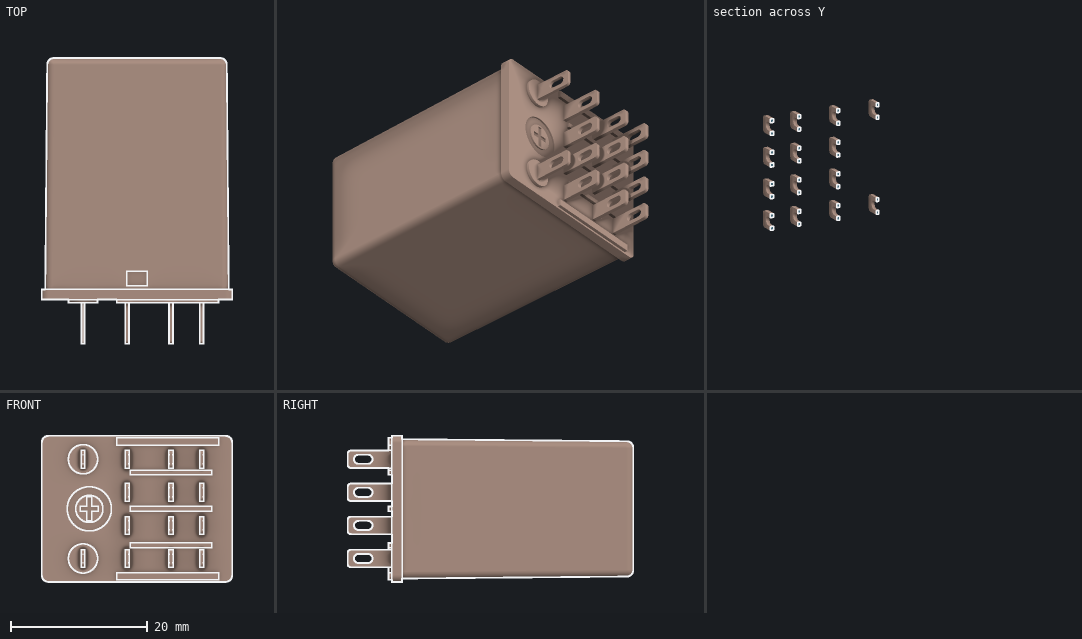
import cadquery as cq
import math


PLATE_WIDTH = 28.0
PLATE_HEIGHT = 21.5
PLATE_THICKNESS = 1.5
PLATE_CORNER_RADIUS = 1.0
PLATE_FACE_Y = -PLATE_THICKNESS

CASE_MARGIN = 0.5
CASE_WIDTH = PLATE_WIDTH - 2 * CASE_MARGIN
CASE_HEIGHT = PLATE_HEIGHT - 2 * CASE_MARGIN
CASE_LENGTH = 34.0
CASE_DRAFT_DEGREES = 0.5
CASE_EDGE_RADIUS = 1.0

WINDOW_WIDTH = 3.0
WINDOW_LENGTH = 2.1
WINDOW_OFFSET_FROM_PLATE = 0.55
WINDOW_DEPTH = 0.25

RELIEF_HEIGHT = 0.5
RAIL_CENTER_X = 4.5
RAIL_LENGTH = 15.0
RAIL_THICKNESS = 1.1
RAIL_INSET = 0.3
RAIL_CENTER_Z = PLATE_HEIGHT / 2 - RAIL_INSET - RAIL_THICKNESS / 2
RIB_CENTER_X = 5.0
RIB_LENGTH = 12.0
RIB_THICKNESS = 0.7
RIB_SPACING = 5.33
PAD_RADIUS = 2.15

SCREW_X = -7.0
SCREW_POCKET_RADIUS = 3.25
SCREW_HEAD_RADIUS = 2.0
SCREW_POCKET_DEPTH = 0.25
CROSS_DEPTH = 0.25
CROSS_SLOT_WIDTH = 0.7
CROSS_LENGTH_X = 2.65
CROSS_LENGTH_Z = 3.5

TERMINAL_LENGTH = 6.5
TERMINAL_WIDTH = 2.6
TERMINAL_TIP_RADIUS = 0.5
EYE_LENGTH = 2.7
EYE_WIDTH = 1.3
EYE_CENTER_FROM_TIP = 2.3
CONTACT_COLUMNS_X = (-1.45, 5.0, 9.5)
CONTACT_THICKNESS = 0.6
COIL_X = -7.93
COIL_THICKNESS = 0.5
ROW_SPACING = 4.86
OUTER_ROW_Z = 1.5 * ROW_SPACING
INNER_ROW_Z = 0.5 * ROW_SPACING


def block(size_x, size_z, y_start, length, x=0.0, z=0.0):
    """Rectangular block from y_start towards +Y, centred on (x, z)."""
    return cq.Workplane("XY").box(size_x, length, size_z).translate((x, y_start + length / 2, z))


def disc(radius, y_start, length, x, z):
    """Round disc from y_start towards +Y, centred on (x, z)."""
    return cq.Workplane("XZ", origin=(x, y_start, z)).circle(radius).extrude(-length)


def base_plate():
    plate = block(PLATE_WIDTH, PLATE_HEIGHT, PLATE_FACE_Y, PLATE_THICKNESS)
    return plate.edges("|Y").fillet(PLATE_CORNER_RADIUS)


def case():
    """Box drafted on all four sides, with its long edges and far end rounded."""
    shrink = 2 * CASE_LENGTH * math.tan(math.radians(CASE_DRAFT_DEGREES))
    body = (
        cq.Workplane("XZ")
        .rect(CASE_WIDTH, CASE_HEIGHT)
        .workplane(offset=-CASE_LENGTH)
        .rect(CASE_WIDTH - shrink, CASE_HEIGHT - shrink)
        .loft(ruled=True)
    )
    return body.edges("not <Y").fillet(CASE_EDGE_RADIUS)


def latch_window():
    """Cutter for the window, with its floor following the drafted top face."""
    slope = math.tan(math.radians(CASE_DRAFT_DEGREES))
    y_near = WINDOW_OFFSET_FROM_PLATE
    y_far = y_near + WINDOW_LENGTH
    floor_near = CASE_HEIGHT / 2 - WINDOW_DEPTH - y_near * slope
    floor_far = CASE_HEIGHT / 2 - WINDOW_DEPTH - y_far * slope
    top = PLATE_HEIGHT / 2
    side = [(y_near, floor_near), (y_far, floor_far), (y_far, top), (y_near, top)]
    return cq.Workplane("YZ").polyline(side).close().extrude(WINDOW_WIDTH / 2, both=True)


def rails_and_ribs():
    y_start = PLATE_FACE_Y - RELIEF_HEIGHT
    bars = cq.Workplane("XY")
    for z in (-RAIL_CENTER_Z, RAIL_CENTER_Z):
        bars = bars.add(block(RAIL_LENGTH, RAIL_THICKNESS, y_start, RELIEF_HEIGHT, RAIL_CENTER_X, z))
    for z in (-RIB_SPACING, 0.0, RIB_SPACING):
        bars = bars.add(block(RIB_LENGTH, RIB_THICKNESS, y_start, RELIEF_HEIGHT, RIB_CENTER_X, z))
    return bars.combine()


def screw_recess():
    """Cutter for the annular pocket around the screw head and the cross slot in it."""
    pocket = disc(SCREW_POCKET_RADIUS, PLATE_FACE_Y, SCREW_POCKET_DEPTH, SCREW_X, 0.0)
    head = disc(SCREW_HEAD_RADIUS, PLATE_FACE_Y, SCREW_POCKET_DEPTH, SCREW_X, 0.0)
    slot_x = block(CROSS_LENGTH_X, CROSS_SLOT_WIDTH, PLATE_FACE_Y, CROSS_DEPTH, SCREW_X)
    slot_z = block(CROSS_SLOT_WIDTH, CROSS_LENGTH_Z, PLATE_FACE_Y, CROSS_DEPTH, SCREW_X)
    return pocket.cut(head).union(slot_x).union(slot_z)


def terminal(thickness, x, z):
    """Flat blade with rounded tip corners and an oblong solder eye."""
    tip_y = PLATE_FACE_Y - TERMINAL_LENGTH
    blade = block(thickness, TERMINAL_WIDTH, tip_y, TERMINAL_LENGTH, x, z)
    blade = blade.edges("|X and <Y").fillet(TERMINAL_TIP_RADIUS)
    eye = (
        cq.Workplane("YZ", origin=(x, tip_y + EYE_CENTER_FROM_TIP, z))
        .slot2D(EYE_LENGTH, EYE_WIDTH)
        .extrude(thickness, both=True)
    )
    return blade.cut(eye)


def coil_terminals():
    """Two terminals, each standing on a round pad."""
    group = cq.Workplane("XY")
    for z in (-OUTER_ROW_Z, OUTER_ROW_Z):
        pad = disc(PAD_RADIUS, PLATE_FACE_Y - RELIEF_HEIGHT, RELIEF_HEIGHT, COIL_X, z)
        group = group.add(pad.union(terminal(COIL_THICKNESS, COIL_X, z)))
    return group.combine()


def contact_terminals():
    """Grid of three columns and four rows."""
    group = cq.Workplane("XY")
    for x in CONTACT_COLUMNS_X:
        for z in (-OUTER_ROW_Z, -INNER_ROW_Z, INNER_ROW_Z, OUTER_ROW_Z):
            group = group.add(terminal(CONTACT_THICKNESS, x, z))
    return group.combine()


result = (
    base_plate()
    .union(case())
    .cut(latch_window())
    .cut(screw_recess())
    .union(rails_and_ribs())
    .union(coil_terminals())
    .union(contact_terminals())
)